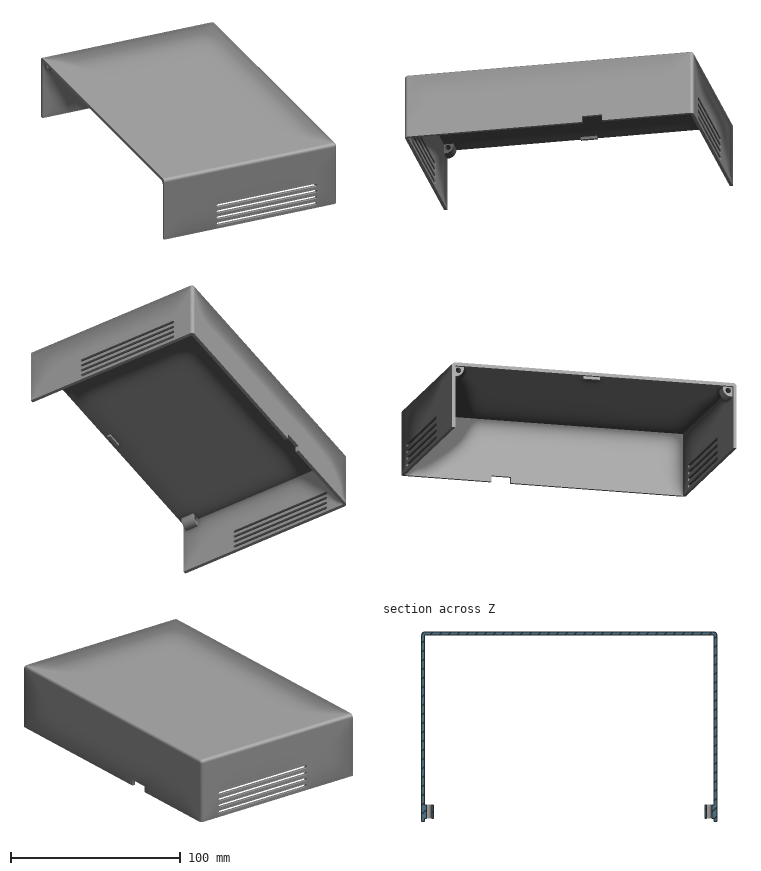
import cadquery as cq

length = 174.0
depth = 112.0
height = 39.7
wall = 2.0
edge_radius = 2.0

boss_diameter = 10.0
boss_corner_inset = 0.8
boss_hole_diameter = 3.3
boss_length = 8.0
boss_front_gap = 2.0
hole_side_offset = 4.5
hole_top_offset = 4.2

tab_width = 10.0
tab_drop = 1.6
tab_length = 2.0
tab_center_x = -1.0
tab_front_gap = 2.0

notch_width = 12.0
notch_height = 3.7
notch_center_x = -26.0

slot_count = 4
slot_length = 65.0
slot_height = 2.0
slot_pitch = 4.0
slot_back_margin = 13.0
lowest_slot_z = 3.0

front_y = -depth / 2
back_y = depth / 2
ceiling_z = height - wall


def make_shell():
    """Rounded box, hollowed so that it is open at the front and the bottom."""
    block = cq.Workplane("XY").box(length, depth, height, centered=(True, True, False))
    block = block.edges("(|Z and >Y) or (|X and >Y and >Z) or (|Y and >Z)").fillet(edge_radius)
    cavity = (
        cq.Workplane("XY")
        .box(length - 2 * wall, depth - wall, ceiling_z, centered=(True, False, False))
        .translate((0, front_y, 0))
    )
    return block.cut(cavity)


def boss_cylinder(center_x, center_z, diameter):
    """Cylinder along Y with the position and length of a screw boss."""
    return (
        cq.Workplane("XZ", origin=(center_x, front_y + boss_front_gap, center_z))
        .circle(diameter / 2)
        .extrude(-boss_length)
    )


def add_bosses(body):
    """Rounded bosses merged into the upper corners, with the screw holes along Y."""
    envelope = cq.Workplane("XY").box(
        length - wall, depth, height - wall / 2, centered=(True, True, False)
    )
    boss_x = length / 2 - wall - boss_corner_inset
    boss_z = ceiling_z - boss_corner_inset
    hole_x = length / 2 - hole_side_offset
    hole_z = height - hole_top_offset
    for side in (-1, 1):
        boss = boss_cylinder(side * boss_x, boss_z, boss_diameter)
        body = body.union(boss.intersect(envelope))
        body = body.cut(boss_cylinder(side * hole_x, hole_z, boss_hole_diameter))
    return body


def add_tab(body):
    """Small block hanging from the top just behind its front edge."""
    tab = (
        cq.Workplane("XY")
        .box(tab_width, tab_length, tab_drop + wall / 2, centered=(True, False, False))
        .translate((tab_center_x, front_y + tab_front_gap, ceiling_z - tab_drop))
    )
    return body.union(tab)


def cut_notch(body):
    """Rectangular notch through the back wall at its lower edge."""
    notch = (
        cq.Workplane("XY")
        .box(notch_width, 2 * wall, notch_height, centered=(True, True, False))
        .translate((notch_center_x, back_y - wall, 0))
    )
    return body.cut(notch)


def cut_slots(body):
    """Stacked horizontal slots with round ends, through both side walls."""
    slot_center_y = back_y - slot_back_margin - slot_length / 2
    for row in range(slot_count):
        slot_z = lowest_slot_z + row * slot_pitch
        slot = (
            cq.Workplane("YZ", origin=(0, slot_center_y, slot_z))
            .slot2D(slot_length, slot_height)
            .extrude(length / 2, both=True)
        )
        body = body.cut(slot)
    return body


result = cut_slots(cut_notch(add_tab(add_bosses(make_shell()))))